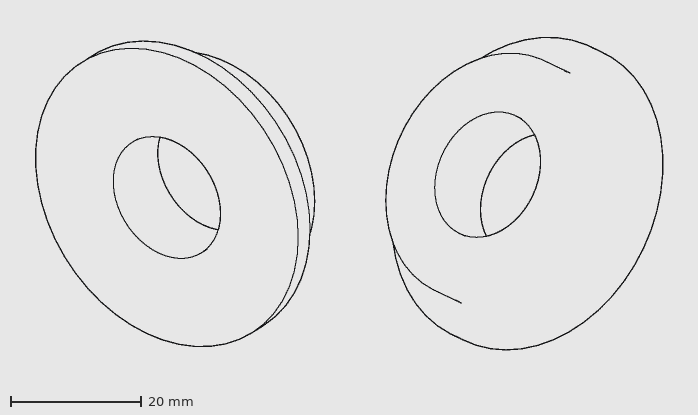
import cadquery as cq

flange_diameter = 49.0
flange_thickness = 3.55
hub_diameter = 39.0
bore_diameter = 20.0
total_length = 12.0
fillet_radius = 0.5


def cylinder_along_y(diameter, length):
    """Cylinder on the Y axis from the flange face (Y = 0) towards +Y."""
    return cq.Workplane("XZ").circle(diameter / 2).extrude(-length)


flange = cylinder_along_y(flange_diameter, flange_thickness)
hub = cylinder_along_y(hub_diameter, total_length)
body = flange.union(hub)

body = body.edges("%CIRCLE").edges("not(<Y)").fillet(fillet_radius)

bore = cylinder_along_y(bore_diameter, total_length)
result = body.cut(bore)